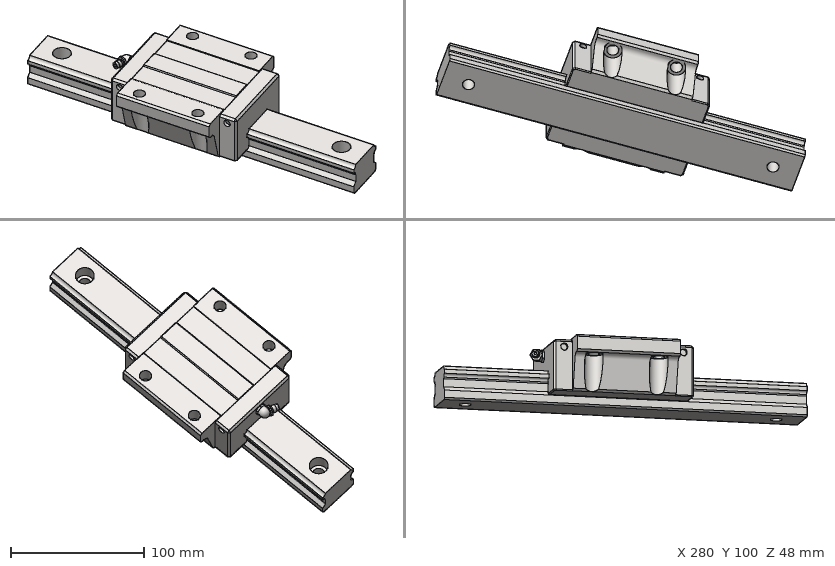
import cadquery as cq
import math


RAIL_LENGTH = 280.0
RAIL_HALF_WIDTH = 17.0
RAIL_HEIGHT = 26.0
RAIL_FOOT_TOP = 7.0
RAIL_FOOT_CHAMFER = 1.5
RAIL_NECK_HALF_WIDTH = 14.0
RAIL_NECK_TOP = 16.2
RAIL_NECK_BEVEL_WIDTH = 0.5
RAIL_NECK_BEVEL_HEIGHT = 1.0
RAIL_HEAD_BOTTOM = 20.0
RAIL_HEAD_SHOULDER = 23.0
RAIL_TOP_HALF_WIDTH = 14.0
BALL_GROOVE_DEPTH = 0.8
RAIL_HOLE_SPACING = 240.0
RAIL_HOLE_DIAMETER = 9.0
RAIL_COUNTERBORE_DIAMETER = 14.0
RAIL_COUNTERBORE_DEPTH = 12.0

CARRIAGE_CENTRE_X = -5.5
BLOCK_LENGTH = 79.5
BLOCK_WIDTH = 100.0
BLOCK_TOP = 48.0
BLOCK_BOTTOM = 7.5
FLANGE_THICKNESS = 13.0
FLANGE_CHAMFER = 1.7
SKIRT_BOTTOM_HALF_WIDTH = 35.5
SKIRT_BOTTOM_CHAMFER = 1.7
SKIRT_TILT = math.radians(15)
SKIRT_FILLET = 4.5
TOP_GROOVE_DEPTH = 0.8
TOP_GROOVE_INNER = 8.0
TOP_GROOVE_OUTER = 27.5
BOLT_SPACING_X = 50.0
BOLT_SPACING_Y = 82.0
BOLT_HOLE_DIAMETER = 9.0
BOLT_RELIEF_DIAMETER = 14.0

CARRIAGE_LENGTH = 108.0
CAP_WIDTH = 67.8
CAP_TOP = 46.8
CAP_BOTTOM = BLOCK_BOTTOM
CAP_CHAMFER = 1.7
CAP_BOTTOM_CHAMFER = 0.8
CAP_HOLE_SPACING = 92.0
CAP_HOLE_Z = 41.2
CAP_HOLE_DIAMETER = 5.3
CAP_HOLE_DEPTH = 2.8

NIPPLE_Z = 40.0
HEX_ACROSS_FLATS = 8.0
HEX_ACROSS_CORNERS = HEX_ACROSS_FLATS / math.cos(math.radians(30))
BASE_HEX_THICKNESS = 1.7
ELBOW_DIAMETER = 8.0
ELBOW_LENGTH = 3.5
SPOUT_TILT = math.radians(20)
SPOUT_HEX_START = 3.5
SPOUT_HEX_END = 4.8
SPOUT_HEAD_DIAMETER = 6.0
SPOUT_HEAD_START = 6.2
SPOUT_HEAD_END = 9.0
SPOUT_STEM_DIAMETER = 5.0
SPOUT_STEM_END = 11.2
GREASE_HOLE_DIAMETER = 2.2
GREASE_HOLE_DEPTH = 2.8

FLANGE_BOTTOM = BLOCK_TOP - FLANGE_THICKNESS
BLOCK_START_X = CARRIAGE_CENTRE_X - BLOCK_LENGTH / 2
CARRIAGE_START_X = CARRIAGE_CENTRE_X - CARRIAGE_LENGTH / 2


def extrude_symmetric(half_outline, start_x, length):
    """Mirror a +Y half outline of (y, z) points across Y = 0 and extrude it along X."""
    mirrored = [(-y, z) for y, z in reversed(half_outline)]
    return cq.Workplane("YZ", origin=(start_x, 0, 0)).polyline(half_outline + mirrored).close().extrude(length)


def rail_prism():
    """Full-length rail with concave ball grooves above and below its widest part at the head."""
    foot_slope_top = RAIL_FOOT_TOP + RAIL_HALF_WIDTH - RAIL_NECK_HALF_WIDTH
    half_section = (
        cq.Workplane("YZ", origin=(-RAIL_LENGTH / 2, 0, 0))
        .lineTo(RAIL_HALF_WIDTH - RAIL_FOOT_CHAMFER, 0)
        .lineTo(RAIL_HALF_WIDTH, RAIL_FOOT_CHAMFER)
        .lineTo(RAIL_HALF_WIDTH, RAIL_FOOT_TOP)
        .lineTo(RAIL_NECK_HALF_WIDTH, foot_slope_top)
        .lineTo(RAIL_NECK_HALF_WIDTH, RAIL_NECK_TOP)
        .line(RAIL_NECK_BEVEL_WIDTH, RAIL_NECK_BEVEL_HEIGHT)
        .sagittaArc((RAIL_HALF_WIDTH, RAIL_HEAD_BOTTOM), BALL_GROOVE_DEPTH)
        .lineTo(RAIL_HALF_WIDTH, RAIL_HEAD_SHOULDER)
        .sagittaArc((RAIL_TOP_HALF_WIDTH, RAIL_HEIGHT), BALL_GROOVE_DEPTH)
        .lineTo(0, RAIL_HEIGHT)
    )
    half_rail = half_section.close().extrude(RAIL_LENGTH)
    return half_rail.union(half_rail.mirror("XZ")).clean()


def make_rail():
    return (
        rail_prism()
        .faces(">Z")
        .workplane(origin=(0, 0, RAIL_HEIGHT))
        .rarray(RAIL_HOLE_SPACING, 2.8, 2, 1)
        .cboreHole(RAIL_HOLE_DIAMETER, RAIL_COUNTERBORE_DIAMETER, RAIL_COUNTERBORE_DEPTH)
    )


def carriage_block():
    """Flanged block with sloping skirts and a filleted corner under each flange."""
    half_width = BLOCK_WIDTH / 2
    skirt_top_y = SKIRT_BOTTOM_HALF_WIDTH + (FLANGE_BOTTOM - BLOCK_BOTTOM) * math.tan(SKIRT_TILT)
    half_outline = [
        (SKIRT_BOTTOM_HALF_WIDTH, BLOCK_BOTTOM),
        (skirt_top_y, FLANGE_BOTTOM),
        (half_width, FLANGE_BOTTOM),
        (half_width, BLOCK_TOP),
    ]
    block = extrude_symmetric(half_outline, BLOCK_START_X, BLOCK_LENGTH)
    for side in (-1, 1):
        corner = (CARRIAGE_CENTRE_X, side * skirt_top_y, FLANGE_BOTTOM)
        block = block.edges(cq.selectors.NearestToPointSelector(corner)).fillet(SKIRT_FILLET)
        bottom_edge = (CARRIAGE_CENTRE_X, side * SKIRT_BOTTOM_HALF_WIDTH, BLOCK_BOTTOM)
        block = block.edges(cq.selectors.NearestToPointSelector(bottom_edge)).chamfer(SKIRT_BOTTOM_CHAMFER)
    return block.edges("|X and (>Y or <Y)").chamfer(FLANGE_CHAMFER)


def top_grooves():
    """Two shallow grooves whose inner walls slope at 45 degrees."""
    floor = BLOCK_TOP - TOP_GROOVE_DEPTH
    outline = [
        (TOP_GROOVE_INNER, BLOCK_TOP),
        (TOP_GROOVE_INNER + TOP_GROOVE_DEPTH, floor),
        (TOP_GROOVE_OUTER, floor),
        (TOP_GROOVE_OUTER, BLOCK_TOP),
    ]
    groove = cq.Workplane("YZ", origin=(BLOCK_START_X, 0, 0)).polyline(outline).close().extrude(BLOCK_LENGTH)
    return groove.union(groove.mirror("XZ"))


def bolt_cylinders(diameter, height):
    """Upright cylinders at the four flange bolts, from Z = 0 up to the height."""
    return (
        cq.Workplane("XY")
        .center(CARRIAGE_CENTRE_X, 0)
        .rarray(BOLT_SPACING_X, BOLT_SPACING_Y, 2, 2)
        .circle(diameter / 2)
        .extrude(height)
    )


def end_caps():
    """Both end caps as one bar that passes through the block."""
    return (
        cq.Workplane("XY", origin=(CARRIAGE_CENTRE_X, 0, CAP_BOTTOM))
        .rect(CARRIAGE_LENGTH, CAP_WIDTH)
        .extrude(CAP_TOP - CAP_BOTTOM)
        .edges("|Z or >Z")
        .chamfer(CAP_CHAMFER)
        .faces("<Z")
        .edges()
        .chamfer(CAP_BOTTOM_CHAMFER)
    )


def cap_side_holes():
    """Blind holes in the two side faces of both end caps."""
    holes = (
        cq.Workplane("XZ", origin=(CARRIAGE_CENTRE_X, -CAP_WIDTH / 2, CAP_HOLE_Z))
        .rarray(CAP_HOLE_SPACING, 2.8, 2, 1)
        .circle(CAP_HOLE_DIAMETER / 2)
        .extrude(-CAP_HOLE_DEPTH)
    )
    return holes.union(holes.mirror("XZ"))


def make_carriage():
    block = carriage_block().cut(bolt_cylinders(BOLT_RELIEF_DIAMETER, FLANGE_BOTTOM))
    return (
        block.union(end_caps())
        .cut(top_grooves())
        .cut(bolt_cylinders(BOLT_HOLE_DIAMETER, BLOCK_TOP))
        .cut(cap_side_holes())
        .cut(rail_prism())
    )


def make_nipple():
    """Hexagonal base and round elbow along -X, then a stepped spout towards -Y and -X."""
    base_plane = cq.Plane(origin=(CARRIAGE_START_X, 0, NIPPLE_Z), xDir=(0, 0, 1), normal=(-1, 0, 0))
    base = cq.Workplane(base_plane).polygon(6, HEX_ACROSS_CORNERS).extrude(BASE_HEX_THICKNESS)

    elbow_reach = BASE_HEX_THICKNESS + ELBOW_LENGTH
    elbow_arm = cq.Workplane(base_plane).circle(ELBOW_DIAMETER / 2).extrude(elbow_reach)
    elbow_centre = (CARRIAGE_START_X - elbow_reach, 0, NIPPLE_Z)
    elbow_ball = cq.Workplane("XY", origin=elbow_centre).sphere(ELBOW_DIAMETER / 2)

    spout_direction = (-math.sin(SPOUT_TILT), -math.cos(SPOUT_TILT), 0)
    across_spout = (math.cos(SPOUT_TILT), -math.sin(SPOUT_TILT), 0)
    spout_plane = cq.Plane(origin=elbow_centre, xDir=across_spout, normal=spout_direction)
    spout = cq.Workplane(spout_plane)
    hex_collar = (
        spout.workplane(offset=SPOUT_HEX_START)
        .polygon(6, HEX_ACROSS_CORNERS)
        .extrude(SPOUT_HEX_END - SPOUT_HEX_START)
    )
    head = (
        spout.workplane(offset=SPOUT_HEAD_START)
        .circle(SPOUT_HEAD_DIAMETER / 2)
        .extrude(SPOUT_HEAD_END - SPOUT_HEAD_START)
    )
    stem = spout.circle(SPOUT_STEM_DIAMETER / 2).extrude(SPOUT_STEM_END)
    grease_hole = (
        cq.Workplane(spout_plane)
        .workplane(offset=SPOUT_STEM_END)
        .circle(GREASE_HOLE_DIAMETER / 2)
        .extrude(-GREASE_HOLE_DEPTH)
    )

    elbow = base.union(elbow_arm).union(elbow_ball)
    return elbow.union(stem).union(hex_collar).union(head).cut(grease_hole)


rail = make_rail()
carriage = make_carriage()
nipple = make_nipple()

result = cq.Compound.makeCompound([rail.val(), carriage.val(), nipple.val()])